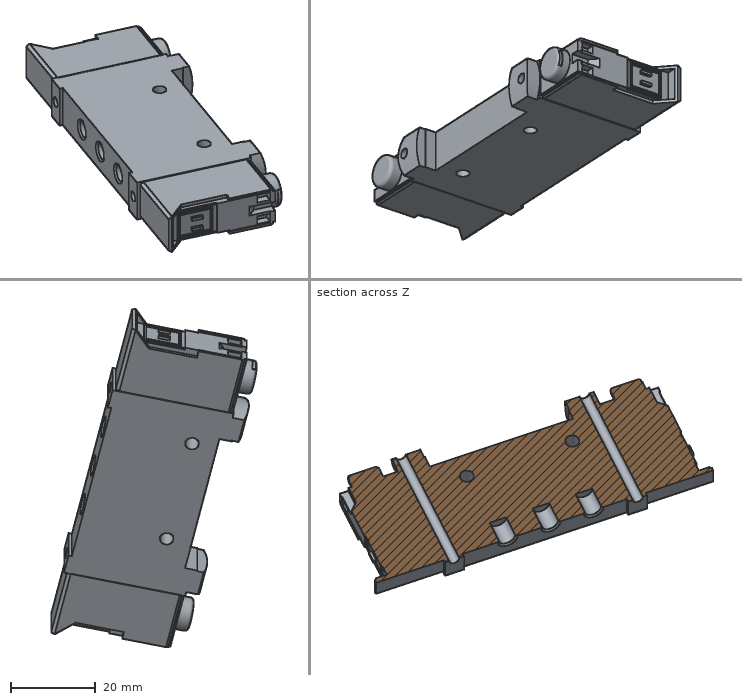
import cadquery as cq


total_length = 86.32
total_depth = 33.1
total_height = 10.25
half_height = total_height / 2

body_half_length = 21.0
body_front = 0.8
body_back = 27.65
port_diameter = 4.13
port_mouth_diameter = 5.0
port_mouth_depth = 0.45
port_depth = 6.0
port_pitch = 11.0
port_middle_x = 1.5
mount_hole_diameter = 3.2
mount_hole_pitch = 27.0
mount_hole_middle_x = 2.15
mount_hole_y = 21.6

clamp_width = 4.9
clamp_outer_x = body_half_length + clamp_width
clamp_crown = 0.9
clamp_bolt_diameter = 2.46
clamp_bolt_x = 23.5
hook_reach = 2.5
hook_foot_reach = 2.7
hook_foot_back = 30.6
head_relief_start = 29.4
head_relief = 1.15

cover_half_height = 4.9
cover_front = body_front
cover_back = 28.7
cover_end_x = 40.8
cover_edge_y = 0.85
cover_edge_z = 0.6
cover_back_bevel = 0.6
cover_back_bevel_z = 0.3
lip_tip_x = total_length / 2
lip_inside_y = 2.2
notch_x = 38.9
notch_back = 17.5
notch_front = 5.85

coil_end_x = 40.55
coil_base_x = 40.0
coil_half_height = 4.05
coil_back_half_height = 4.25
coil_back = 29.2
rail_front = 27.95
window_front = 24.7
window_inner_z = 1.9
window_outer_z = 4.0
window_depth = 2.0
clip_slot_width = 2.4
clip_slot_front = 22.6
clip_ramp_back = 24.6
clip_slot_depth = 2.0

connector_end_x = 40.3
connector_front = 4.35
connector_back = 14.35
connector_half_height = 3.75
groove_front = 4.45
groove_back = 13.35
groove_half_height = 3.35
groove_width = 0.5
groove_depth = 0.2
fin_front = 7.8
fin_back = 10.6
fin_z = 1.4
fin_thickness = 0.7
fin_end_x = 41.05

button_diameter = 8.1
button_x = 33.63
button_back = 32.5
button_round = 0.9
button_flat_width = 3.9
button_flat_front = 31.3
button_flat_depth = 0.15


def box(x0, x1, y0, y1, z0, z1):
    """Box between two opposite corners."""
    return cq.Workplane("XY").box(x1 - x0, y1 - y0, z1 - z0, centered=False).translate((x0, y0, z0))


def layer(x0, x1, y0, y1, half_z):
    """Box that is symmetric about Z = 0."""
    return box(x0, x1, y0, y1, -half_z, half_z)


def cylinder_y(x, y0, y1, diameter):
    """Round bar along +Y, centred on Z = 0."""
    base = cq.Workplane("XZ", origin=(x, y0, 0))
    return base.circle(diameter / 2).extrude(y0 - y1)


def make_body():
    body = layer(-body_half_length, body_half_length, body_front, body_back, half_height)
    for step in (-1, 0, 1):
        x = port_middle_x + step * port_pitch
        port = cylinder_y(x, body_front, body_front + port_depth, port_diameter)
        mouth = (
            cq.Workplane("XZ", origin=(x, body_front, 0))
            .circle(port_mouth_diameter / 2)
            .workplane(offset=-port_mouth_depth)
            .circle(port_diameter / 2)
            .loft()
        )
        body = body.cut(port).cut(mouth)
    for side in (-1, 1):
        x = mount_hole_middle_x + side * mount_hole_pitch / 2
        hole = cq.Workplane("XY", origin=(x, mount_hole_y, -half_height))
        body = body.cut(hole.circle(mount_hole_diameter / 2).extrude(total_height))
    return body


def make_clamp():
    inner_x = body_half_length
    crown_start = total_depth - clamp_crown
    blank = layer(inner_x, clamp_outer_x, 0, total_depth, half_height)
    hook = layer(inner_x - hook_reach, inner_x, body_back, total_depth, half_height)
    foot = layer(inner_x - hook_foot_reach, inner_x, body_back, hook_foot_back, half_height)
    clamp = blank.union(hook).union(foot)

    crown = (
        cq.Workplane("YZ", origin=(inner_x - hook_foot_reach, 0, 0))
        .moveTo(0, -half_height)
        .lineTo(crown_start, -half_height)
        .threePointArc((total_depth, 0), (crown_start, half_height))
        .lineTo(0, half_height)
        .close()
        .extrude(clamp_width + hook_foot_reach)
    )
    clamp = clamp.intersect(crown)

    edge_x = clamp_outer_x - head_relief
    rounded_head = (
        cq.Workplane("XZ", origin=(0, head_relief_start, 0))
        .moveTo(inner_x, -half_height)
        .lineTo(edge_x, -half_height)
        .threePointArc((clamp_outer_x, 0), (edge_x, half_height))
        .lineTo(inner_x, half_height)
        .close()
        .extrude(head_relief_start - total_depth)
    )
    head_blank = layer(inner_x, clamp_outer_x, head_relief_start, total_depth, half_height)
    clamp = clamp.cut(head_blank.cut(rounded_head))
    return clamp.cut(cylinder_y(clamp_bolt_x, 0, total_depth, clamp_bolt_diameter))


def make_cover():
    lip_back = cover_front + cover_edge_y
    outline = [
        (clamp_outer_x, cover_front),
        (lip_tip_x, cover_front),
        (lip_tip_x, lip_back),
        (notch_x, notch_front),
        (notch_x, notch_back),
        (cover_end_x, notch_back),
        (cover_end_x, cover_back),
        (clamp_outer_x, cover_back),
    ]
    cover = cq.Workplane("XY").polyline(outline).close().extrude(cover_half_height, both=True)
    front_z = cover_half_height - cover_edge_z
    back_z = cover_half_height - cover_back_bevel_z
    section = [
        (cover_front, -front_z),
        (lip_back, -cover_half_height),
        (cover_back - cover_back_bevel, -cover_half_height),
        (cover_back, -back_z),
        (cover_back, back_z),
        (cover_back - cover_back_bevel, cover_half_height),
        (lip_back, cover_half_height),
        (cover_front, front_z),
    ]
    envelope = (
        cq.Workplane("YZ", origin=(clamp_outer_x, 0, 0))
        .polyline(section)
        .close()
        .extrude(lip_tip_x - clamp_outer_x)
    )
    cover = cover.intersect(envelope)
    front_opening = layer(notch_x, lip_tip_x, lip_inside_y, notch_back, coil_half_height)
    back_opening = layer(notch_x, lip_tip_x, notch_back, cover_back, coil_back_half_height)
    return cover.cut(front_opening).cut(back_opening)


def make_coil():
    coil = layer(notch_x, coil_base_x, lip_inside_y, notch_back, coil_half_height)
    coil = coil.union(layer(notch_x, coil_end_x, connector_back, notch_back, coil_half_height))
    coil = coil.union(layer(clamp_outer_x, coil_end_x, notch_back, coil_back, coil_back_half_height))
    return coil.union(layer(coil_end_x, cover_end_x, rail_front, coil_back, coil_back_half_height))


def cut_coil_end(end):
    """Cut the two windows and the ramped clip slot into the coil end."""
    for side in (-1, 1):
        low_z, high_z = sorted((side * window_inner_z, side * window_outer_z))
        floor_x = coil_end_x - window_depth
        end = end.cut(box(floor_x, coil_end_x, window_front, rail_front, low_z, high_z))
    slot_floor_x = coil_end_x - clip_slot_depth
    slot = (
        cq.Workplane("XY")
        .polyline([
            (coil_end_x, clip_slot_front),
            (slot_floor_x, clip_ramp_back),
            (slot_floor_x, coil_back),
            (cover_end_x, coil_back),
            (cover_end_x, clip_slot_front),
        ])
        .close()
        .extrude(clip_slot_width / 2, both=True)
    )
    return end.cut(slot)


def make_connector():
    connector = layer(
        coil_base_x, connector_end_x, connector_front, connector_back, connector_half_height
    )
    groove_floor_x = connector_end_x - groove_depth
    groove = layer(groove_floor_x, connector_end_x, groove_front, groove_back, groove_half_height)
    panel = layer(
        groove_floor_x,
        connector_end_x,
        groove_front + groove_width,
        groove_back - groove_width,
        groove_half_height - groove_width,
    )
    connector = connector.cut(groove.cut(panel))
    for side in (-1, 1):
        low_z = side * fin_z - fin_thickness / 2
        fin = box(coil_base_x, fin_end_x, fin_front, fin_back, low_z, low_z + fin_thickness)
        connector = connector.union(fin)
    return connector


def make_button():
    button = cylinder_y(button_x, cover_back, button_back, button_diameter)
    button = button.faces(">Y").edges().fillet(button_round)
    relief = layer(
        button_x, button_x + button_diameter, button_flat_front, button_back, button_flat_width / 2
    )
    core_diameter = button_diameter - 2 * button_flat_depth
    relief = relief.cut(cylinder_y(button_x, cover_back, button_back, core_diameter))
    return button.cut(relief)


def make_end():
    """Clamp, cover, coil, connector and button on the +X end."""
    end = cut_coil_end(make_cover().union(make_coil()))
    return end.union(make_connector()).union(make_button()).union(make_clamp())


right_end = make_end()
left_end = right_end.mirror("YZ")
result = make_body().union(right_end).union(left_end)